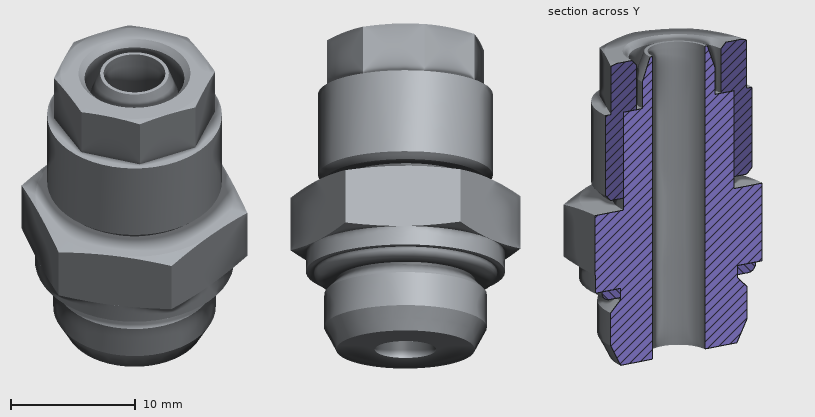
import cadquery as cq
import math

total_height = 25.5
bore_radius = 2.47

spigot_radius = 6.53
spigot_tip_radius = 5.55
spigot_tip_chamfer_height = 1.84
spigot_top_z = 4.6
groove_radius = 5.6
groove_bottom_z = spigot_top_z + spigot_radius - groove_radius

collar_bottom_z = 6.48
hex_bottom_z = 8.0
hex_top_z = 13.05
hex_across_flats = 16.0
collar_radius = hex_across_flats / 2
hex_chamfer_radius = 7.95

ring_bottom_z = 5.7
ring_outer_radius = 7.37
ring_edge_radius = 0.75

boss_radius = 5.3
nozzle_radius = 3.5
nozzle_tip_radius = 2.75
nozzle_cone_height = 2.0

nut_bottom_z = 14.02
nut_shoulder_z = 21.3
nut_radius = 7.0
nut_bottom_chamfer = 0.5
octagon_corner_radius = 6.48
octagon_chamfer_radius = 5.95
tube_hole_radius = 4.0
tube_hole_chamfer = 0.48
boss_top_z = nut_shoulder_z

corner_chamfer_slope = math.tan(math.radians(15))


def revolve_profile(points):
    """Turn a closed (radius, z) outline about the Z axis."""
    return cq.Workplane("XZ").polyline(points).close().revolve(360, (0, 0, 0), (0, 1, 0))


def wrench_prism(sides, corner_radius, bottom_z, top_z, chamfer_radius, chamfer_bottom):
    """Prism with a corner on the Y axis and its corners turned down to a shallow cone."""
    prism = (
        cq.Workplane("XY")
        .workplane(offset=bottom_z)
        .polygon(sides, 2 * corner_radius)
        .extrude(top_z - bottom_z)
        .rotate((0, 0, 0), (0, 0, 1), 90)
    )
    drop = (corner_radius - chamfer_radius) * corner_chamfer_slope
    envelope = [(0, bottom_z)]
    if chamfer_bottom:
        envelope += [(chamfer_radius, bottom_z), (corner_radius, bottom_z + drop)]
    else:
        envelope += [(corner_radius, bottom_z)]
    envelope += [(corner_radius, top_z - drop), (chamfer_radius, top_z), (0, top_z)]
    return prism.intersect(revolve_profile(envelope))


def make_fitting():
    """Screw-in body: spigot, collar, hexagon, boss and nozzle with a through bore."""
    turned = revolve_profile([
        (bore_radius, 0),
        (spigot_tip_radius, 0),
        (spigot_radius, spigot_tip_chamfer_height),
        (spigot_radius, spigot_top_z),
        (groove_radius, groove_bottom_z),
        (groove_radius, collar_bottom_z),
        (collar_radius, collar_bottom_z),
        (collar_radius, hex_bottom_z),
        (boss_radius, hex_bottom_z),
        (boss_radius, boss_top_z),
        (nozzle_radius, boss_top_z),
        (nozzle_radius, total_height - nozzle_cone_height),
        (nozzle_tip_radius, total_height),
        (bore_radius, total_height),
    ])
    hex_corner_radius = hex_across_flats / 2 / math.cos(math.pi / 6)
    hexagon = wrench_prism(6, hex_corner_radius, hex_bottom_z, hex_top_z, hex_chamfer_radius, True)
    bore = cq.Workplane("XY").circle(bore_radius).extrude(total_height)
    return turned.union(hexagon.cut(bore))


def make_sealing_ring():
    """Seal under the collar, rounded on its lower outer edge."""
    return (
        cq.Workplane("XY")
        .workplane(offset=ring_bottom_z)
        .circle(ring_outer_radius)
        .extrude(collar_bottom_z - ring_bottom_z)
        .faces("<Z")
        .edges()
        .fillet(ring_edge_radius)
        .cut(cq.Workplane("XY").circle(groove_radius).extrude(total_height))
    )


def make_union_nut():
    """Round nut with an octagonal top, fitted over the boss, with a hole for the tube."""
    skirt = (
        cq.Workplane("XY")
        .workplane(offset=nut_bottom_z)
        .circle(nut_radius)
        .extrude(nut_shoulder_z - nut_bottom_z)
        .faces("<Z")
        .chamfer(nut_bottom_chamfer)
    )
    octagon = wrench_prism(
        8, octagon_corner_radius, nut_shoulder_z, total_height, octagon_chamfer_radius, False
    )
    cavity = revolve_profile([
        (0, nut_bottom_z),
        (boss_radius, nut_bottom_z),
        (boss_radius, boss_top_z),
        (tube_hole_radius, boss_top_z),
        (tube_hole_radius, total_height - tube_hole_chamfer),
        (tube_hole_radius + tube_hole_chamfer, total_height),
        (0, total_height),
    ])
    return skirt.union(octagon).cut(cavity)


fitting = make_fitting()
sealing_ring = make_sealing_ring()
union_nut = make_union_nut()

result = cq.Compound.makeCompound([fitting.val(), sealing_ring.val(), union_nut.val()])